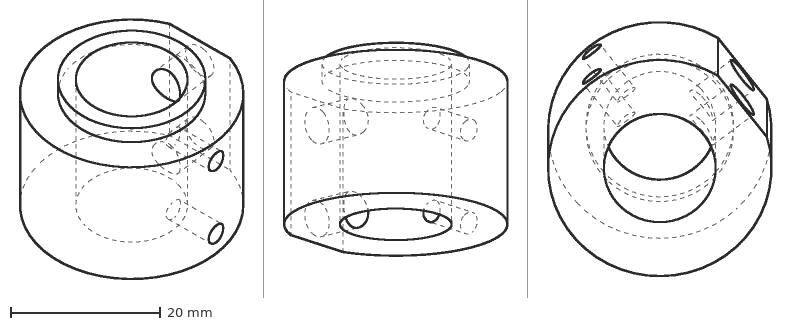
import cadquery as cq

body_diameter = 30.0
body_height = 20.0
flat_offset = 14.0

ring_diameter = 19.8
total_height = 22.5
bore_diameter = 15.0

hole_inset = 3.5
flat_hole_diameter = 5.0
side_hole_diameter = 3.0
hole_heights = (hole_inset, body_height - hole_inset)


def make_collar():
    """Flatted cylinder with a raised ring on top and an axial bore."""
    body = cq.Workplane("XY").circle(body_diameter / 2).extrude(body_height)
    flat_cut = (
        cq.Workplane("XY")
        .box(body_diameter, body_diameter, body_height, centered=(True, False, False))
        .translate((0, flat_offset, 0))
    )
    ring = cq.Workplane("XY").circle(ring_diameter / 2).extrude(total_height)
    bore = cq.Workplane("XY").circle(bore_diameter / 2).extrude(total_height)
    return body.cut(flat_cut).union(ring).cut(bore)


def radial_hole(diameter, height, direction):
    """Cutter running outward from the collar axis through one wall."""
    start = cq.Vector(0, 0, height)
    return cq.Solid.makeCylinder(diameter / 2, body_diameter, start, cq.Vector(*direction))


result = make_collar()
for height in hole_heights:
    result = result.cut(radial_hole(flat_hole_diameter, height, (0, 1, 0)))
    result = result.cut(radial_hole(side_hole_diameter, height, (1, 0, 0)))